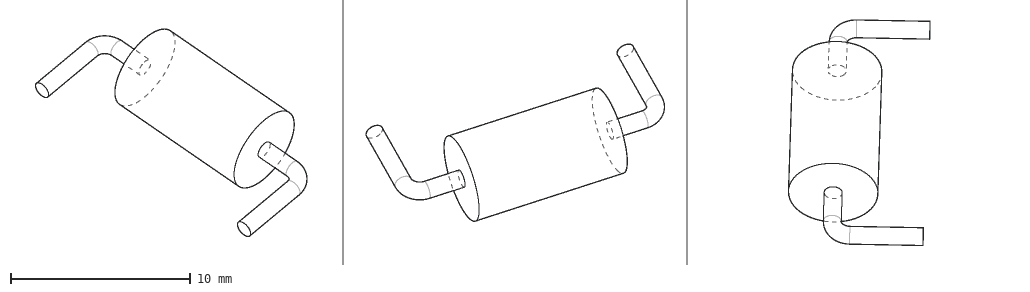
import cadquery as cq

overall_length = 16.24
overall_depth = 7.6
body_diameter = 5.0
body_length = 9.0
lead_diameter = 1.0
bend_radius = 1.0

lead_x = (overall_length - lead_diameter) / 2
bend_start_x = lead_x - bend_radius
lead_tip_y = body_diameter / 2 - overall_depth


def make_body():
    """Plain cylinder lying along X."""
    left_end = cq.Workplane("YZ").workplane(offset=-body_length / 2)
    return left_end.circle(body_diameter / 2).extrude(body_length)


def make_right_lead():
    """Round wire from the body centre, along +X, then bent toward -Y."""
    path = (
        cq.Workplane("XY")
        .lineTo(bend_start_x, 0)
        .tangentArcPoint((lead_x, -bend_radius), relative=False)
        .lineTo(lead_x, lead_tip_y)
    )
    return cq.Workplane("YZ").circle(lead_diameter / 2).sweep(path)


right_lead = make_right_lead()
left_lead = right_lead.mirror("YZ")
result = make_body().union(right_lead).union(left_lead)